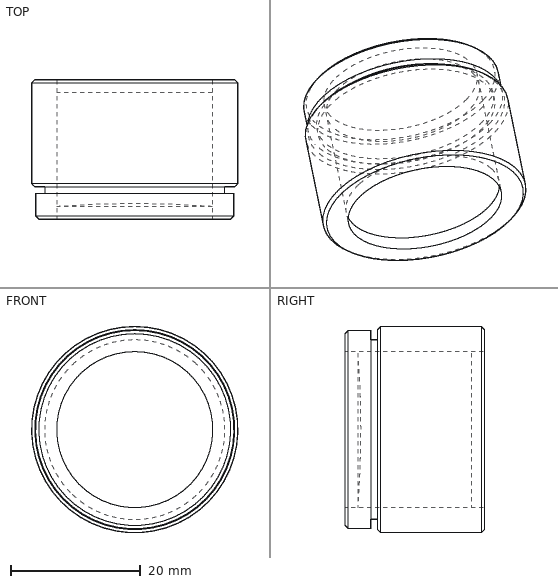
import cadquery as cq
import math

body_diameter = 31.75
body_length = 16.5
collar_diameter = 30.5
collar_length = 4.0
groove_diameter = 27.7
groove_width = 1.0
bore_diameter = 24.0
edge_chamfer = 0.5

lens_recess = 2.0
lens_sag = 0.45

body_front = collar_length + groove_width
housing_length = body_front + body_length
axis_start = (0, 0)
axis_end = (1, 0)


def make_housing():
    """Chamfered body and front collar, parted by a groove, with a through bore."""
    bore_radius = bore_diameter / 2
    groove_radius = groove_diameter / 2
    collar_radius = collar_diameter / 2
    body_radius = body_diameter / 2
    profile = (
        cq.Workplane("YZ")
        .moveTo(0, bore_radius)
        .lineTo(0, collar_radius - edge_chamfer)
        .lineTo(edge_chamfer, collar_radius)
        .lineTo(collar_length, collar_radius)
        .lineTo(collar_length, groove_radius)
        .lineTo(body_front, groove_radius)
        .lineTo(body_front, body_radius - edge_chamfer)
        .lineTo(body_front + edge_chamfer, body_radius)
        .lineTo(housing_length - edge_chamfer, body_radius)
        .lineTo(housing_length, body_radius - edge_chamfer)
        .lineTo(housing_length, bore_radius)
        .close()
    )
    return profile.revolve(360, axis_start, axis_end)


def make_lens():
    """Lens filling the bore, with a spherical concave front and a flat back."""
    lens_radius = bore_diameter / 2
    lens_back = housing_length - lens_recess
    face_radius = (lens_radius**2 + lens_sag**2) / (2 * lens_sag)
    face_center = lens_recess + lens_sag
    sphere_center = face_center - face_radius
    half_angle = math.asin(lens_radius / face_radius)
    arc_middle = (
        sphere_center + face_radius * math.cos(half_angle / 2),
        face_radius * math.sin(half_angle / 2),
    )
    profile = (
        cq.Workplane("YZ")
        .moveTo(face_center, 0)
        .threePointArc(arc_middle, (lens_recess, lens_radius))
        .lineTo(lens_back, lens_radius)
        .lineTo(lens_back, 0)
        .close()
    )
    return profile.revolve(360, axis_start, axis_end)


housing = make_housing()
lens = make_lens()
result = cq.Compound.makeCompound([housing.val(), lens.val()])